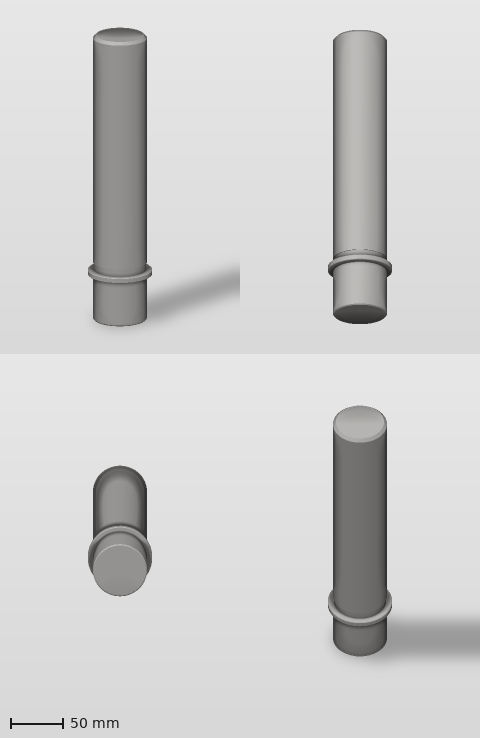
import cadquery as cq

total_height = 285.0
shaft_diameter = 52.0
neck_diameter = 50.2
flange_diameter = 61.8
base_height = 44.7
flange_thickness = 5.0
neck_top = 57.0
top_chamfer = 2.8
base_chamfer = 1.0
flange_chamfer = 0.5

flange_top = base_height + flange_thickness


def cylinder(diameter, bottom, top):
    """Round section centred on the Z axis between two heights."""
    return cq.Workplane("XY").workplane(offset=bottom).circle(diameter / 2).extrude(top - bottom)


base = cylinder(shaft_diameter, 0, base_height).edges().chamfer(base_chamfer)

neck = cylinder(neck_diameter, base_height, neck_top)

flange = cylinder(flange_diameter, base_height, flange_top).edges().chamfer(flange_chamfer)

shaft = cylinder(shaft_diameter, neck_top, total_height).faces(">Z").edges().chamfer(top_chamfer)

result = base.union(neck).union(flange).union(shaft).translate((0, 0, -total_height / 2))